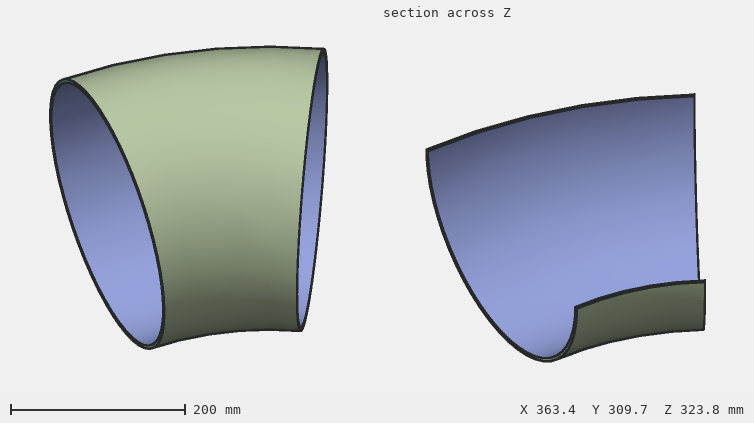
import cadquery as cq

outer_diameter = 323.8
wall = 4.0
bend_radius = 457.5
bend_angle = 30.0

inner_diameter = outer_diameter - 2 * wall

pipe_section = cq.Workplane("XZ").circle(outer_diameter / 2).circle(inner_diameter / 2)

bend_axis_start = (bend_radius, 0)
bend_axis_end = (bend_radius, -1)

result = pipe_section.revolve(bend_angle, bend_axis_start, bend_axis_end)